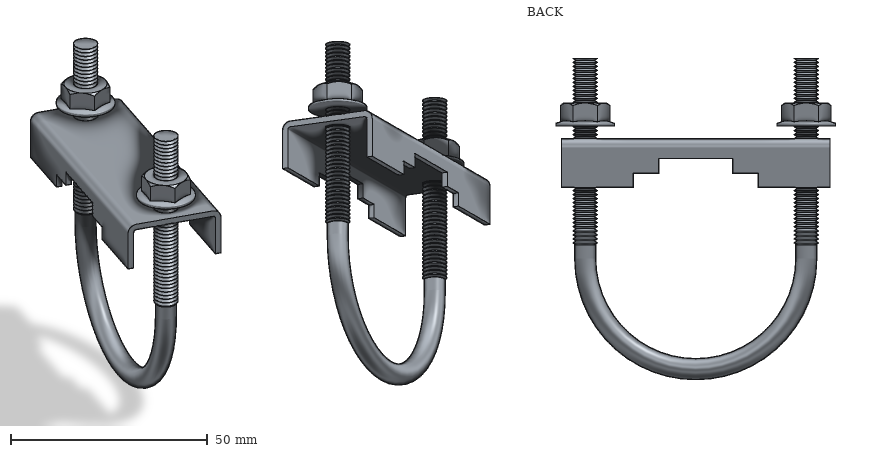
import cadquery as cq
import math

FULL_TURN = 360
HALF_TURN = 180

TOTAL_HEIGHT = 81.7
LEG_X = 28.1
ROD_RADIUS = 2.7
BEND_Z = LEG_X + ROD_RADIUS

CREST_RADIUS = 3.1
ROOT_RADIUS = 2.4
THREAD_LENGTH = 47.4
CREST_COUNT = 47
THREAD_PITCH = THREAD_LENGTH / (CREST_COUNT - 0.5)
THREAD_END_Z = TOTAL_HEIGHT - THREAD_LENGTH

NUT_BOTTOM_Z = 64.4
NUT_HEIGHT = 5.9
HEX_FLATS = 10.95
HEX_CORNERS = HEX_FLATS / math.cos(math.radians(30))
HEX_CHAMFER_DROP = 0.65
FLANGE_DIAMETER = 14.95
FLANGE_RADIUS = FLANGE_DIAMETER / 2
FLANGE_RIM_HEIGHT = 0.7
FLANGE_RIM_FILLET = 0.25
FLANGE_TOP_RADIUS = HEX_FLATS / 2
FLANGE_HEIGHT = 1.4

BRACKET_LENGTH = 68.3
BRACKET_WIDTH = 25.4
BRACKET_TOP_Z = 61.25
BRACKET_HEIGHT = 12.3
SHEET_THICKNESS = 1.55
OUTER_BEND_RADIUS = 2.3
INNER_BEND_RADIUS = OUTER_BEND_RADIUS - SHEET_THICKNESS
BRACKET_BOTTOM_Z = BRACKET_TOP_Z - BRACKET_HEIGHT

WIDE_STEP_WIDTH = 31.7
WIDE_STEP_DEPTH = 3.5
NARROW_STEP_WIDTH = 18.8
NARROW_STEP_DEPTH = 7.3

LEG_POSITIONS = (-LEG_X, LEG_X)


def revolve_about_leg(profile):
    """Turn a closed (radius, height) outline fully about the Z axis."""
    return cq.Workplane("XZ").polyline(profile).close().revolve(FULL_TURN, (0, 0), (0, 1))


def threaded_rod():
    """Threaded length of one leg, on the Z axis."""
    profile = [(0, THREAD_END_Z), (0, TOTAL_HEIGHT)]
    for crest in range(CREST_COUNT):
        crest_z = TOTAL_HEIGHT - crest * THREAD_PITCH
        profile.append((CREST_RADIUS, crest_z))
        profile.append((ROOT_RADIUS, crest_z - THREAD_PITCH / 2))
    return revolve_about_leg(profile)


def plain_rod():
    """Smooth straight length of one leg, between the thread and the bend."""
    return cq.Workplane("XY").workplane(offset=BEND_Z).circle(ROD_RADIUS).extrude(THREAD_END_Z - BEND_Z)


def flange_nut():
    """Hexagon nut with a conical flange, on the Z axis."""
    hexagon = (
        cq.Workplane("XY").workplane(offset=NUT_BOTTOM_Z).polygon(6, HEX_CORNERS).extrude(NUT_HEIGHT)
    )
    nut_top_z = NUT_BOTTOM_Z + NUT_HEIGHT
    chamfer_cone = revolve_about_leg([
        (0, NUT_BOTTOM_Z),
        (HEX_CORNERS / 2, NUT_BOTTOM_Z),
        (HEX_CORNERS / 2, nut_top_z - HEX_CHAMFER_DROP),
        (HEX_FLATS / 2, nut_top_z),
        (0, nut_top_z),
    ])
    flange = revolve_about_leg([
        (0, NUT_BOTTOM_Z),
        (FLANGE_RADIUS, NUT_BOTTOM_Z),
        (FLANGE_RADIUS, NUT_BOTTOM_Z + FLANGE_RIM_HEIGHT),
        (FLANGE_TOP_RADIUS, NUT_BOTTOM_Z + FLANGE_HEIGHT),
        (0, NUT_BOTTOM_Z + FLANGE_HEIGHT),
    ])
    largest_circles = cq.selectors.RadiusNthSelector(-1)
    flange = flange.edges(largest_circles).fillet(FLANGE_RIM_FILLET)
    return hexagon.intersect(chamfer_cone).union(flange)


def bend():
    """Half-circle bend that joins the lower ends of the legs."""
    return (
        cq.Workplane("XY", origin=(-LEG_X, 0, BEND_Z))
        .circle(ROD_RADIUS)
        .revolve(HALF_TURN, (LEG_X, 0), (LEG_X, -1))
    )


def make_u_bolt():
    """U-bolt with a nut on each leg."""
    leg = threaded_rod().union(plain_rod()).union(flange_nut())
    u_bolt = bend()
    for x in LEG_POSITIONS:
        u_bolt = u_bolt.union(leg.translate((x, 0, 0)))
    return u_bolt


def bracket_block(width, height, bend_radius):
    """Full-length block standing on the bracket's lower edge, its long top edges rounded."""
    return (
        cq.Workplane("XY")
        .workplane(offset=BRACKET_BOTTOM_Z)
        .rect(BRACKET_LENGTH, width)
        .extrude(height)
        .edges("|X and >Z")
        .fillet(bend_radius)
    )


def wall_step(width, depth):
    """Cutter for one step of the cut-out, through both side walls."""
    return (
        cq.Workplane("XY").workplane(offset=BRACKET_BOTTOM_Z).rect(width, BRACKET_WIDTH).extrude(depth)
    )


def make_bracket():
    """Bent-sheet channel with stepped side walls and a hole for each leg."""
    outside = bracket_block(BRACKET_WIDTH, BRACKET_HEIGHT, OUTER_BEND_RADIUS)
    inside = bracket_block(
        BRACKET_WIDTH - 2 * SHEET_THICKNESS, BRACKET_HEIGHT - SHEET_THICKNESS, INNER_BEND_RADIUS
    )
    leg_holes = (
        cq.Workplane("XY")
        .workplane(offset=BRACKET_BOTTOM_Z)
        .pushPoints([(x, 0) for x in LEG_POSITIONS])
        .circle(CREST_RADIUS)
        .extrude(BRACKET_HEIGHT)
    )
    return (
        outside.cut(inside)
        .cut(wall_step(WIDE_STEP_WIDTH, WIDE_STEP_DEPTH))
        .cut(wall_step(NARROW_STEP_WIDTH, NARROW_STEP_DEPTH))
        .cut(leg_holes)
    )


u_bolt = make_u_bolt()
bracket = make_bracket()

result = cq.Compound.makeCompound([u_bolt.val(), bracket.val()])